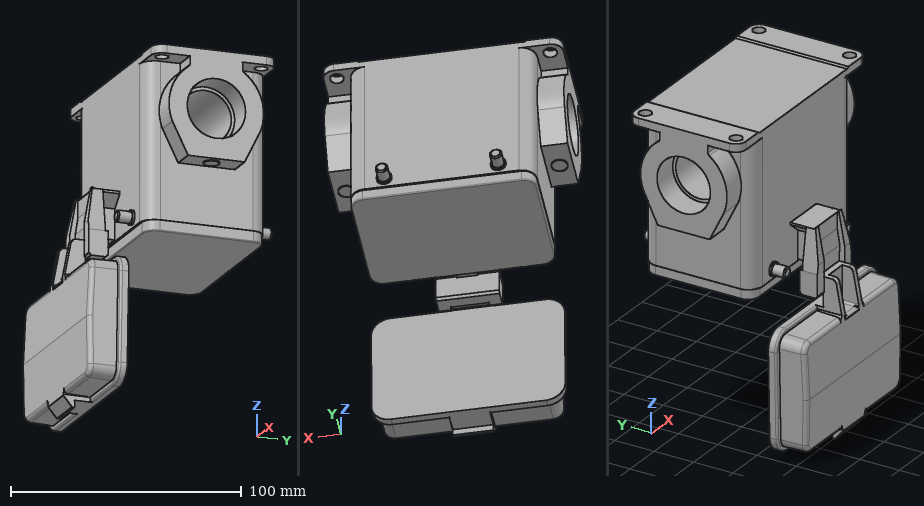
import cadquery as cq
import math

OVERALL_HEIGHT = 155
HOUSING_HEIGHT = 81.0
HOUSING_WIDTH = 82.0
HOUSING_DEPTH = 56.9
HOUSING_CORNER = 7.0
RIM_HEIGHT = 5.0
RIM_END_INSET = 0.2
RIM_SIDE_INSET = 0.8
RIM_CORNER = 5.9
RIM_EDGE = 0.5

FLANGE_WIDTH = 105.5
FLANGE_THICKNESS = 4.0
FLANGE_CORNER = 5.3
SCREW_HOLE_DIAMETER = 5.9
SCREW_SPACING_X = 94.0
SCREW_SPACING_Y = 46.2
RECESS_DEPTH = 0.6
RECESS_TOP_WIDTH = 74.7
RECESS_FLOOR_WIDTH = 72.2

ENTRY_DROP = 26.5
ENTRY_RADIUS = 22.0
ENTRY_SIDE_DROP = 7.9
ENTRY_FLAT_DROP = 49.3
ENTRY_FLAT_WIDTH = 26.3
ENTRY_NECK_WIDTH = 24.5
ENTRY_NECK_FILLET = 1.5
ENTRY_BORE = 24.0
ENTRY_COUNTERBORE = 27.1
COUNTERBORE_DEPTH = 13.0
DRAIN_PAD_DIAMETER = 7.1
DRAIN_PAD_HEIGHT = 0.5
DRAIN_PAD_INSET = 5.9

PIN_SPACING = 50.2
PIN_HEIGHT = 9.8
PIN_DIAMETER = 5.3
PIN_LENGTH = 7.5
PIN_CHAMFER = 0.6
PIN_COLLAR_DIAMETER = 6.7
PIN_COLLAR_LENGTH = 1.0

LATCH_TOP = 26.7
LATCH_BOTTOM = -5.6
LATCH_TOP_WIDTH = 21.4
LATCH_BOTTOM_WIDTH = 28.0
LATCH_BREAK = 6.4
LATCH_BACK_UPPER = -36.5
LATCH_BACK_LOWER = -35.2
LATCH_FRONT_TOP = -41.2
LATCH_FRONT = -44.2
LATCH_FRONT_BREAK = 10.7
LATCH_EDGE = 1.1
PANEL_WIDTH = 16.9
PANEL_TOP_Y = -40.5
PANEL_FOLD_Y = -41.7
PANEL_LOWER_Y = -41.2
PANEL_UPPER_FOLD = 18.3
SHELF_TOP = 26.0
SHELF_THICKNESS = 1.1
SHELF_BRACE_HEIGHT = 5.1
POST_WIDTH = 9.3
POST_BOTTOM = 5.7

LID_MIDDLE = -41.4
LIP_WIDTH = 85.2
LIP_HEIGHT = 58.7
LIP_CORNER = 8.5
LIP_EDGE = 1.0
LIP_THICKNESS = 4.0
LIP_BACK_TOP = -36.6
LIP_BACK_BOTTOM = -37.5
BOX_WIDTH = 79.8
BOX_HEIGHT = 54.4
BOX_DRAFT_ANGLE = 1.5
BOX_CORNER = 5.3
BOX_EDGE = 2.2
BOX_FRONT_TOP = -53.2
BOX_FRONT_MIDDLE = -54.5
BOX_FRONT_BOTTOM = -54.1

ARM_WIDTH = 16.6
ARM_TOP = 2.8
ARM_SHOULDER = -4.6
ARM_BACK = -43.5
ARM_FRONT_TOP = -49.9
ARM_ROUND = 2.5
ARM_POCKET_WIDTH = 11.2
ARM_POCKET_BACK = -44.8
ARM_POCKET_FLOOR = -15.0
ARM_POCKET_LIP = 1.7
ARM_POCKET_FILLET = 1.1
ARM_FLARE = 1.1
ARM_FLARE_TOP = -13.6

CATCH_WIDTH = 18.0
CATCH_FLARE = 1.0
CATCH_BEVEL_TOP = -69.1
CATCH_BEVEL_Y = -54.1
CATCH_TIP_FRONT = -50.0
CATCH_TIP_BACK = -48.8

HOUSING_FRONT = -HOUSING_DEPTH / 2
LID_BOTTOM = HOUSING_HEIGHT - OVERALL_HEIGHT
LIP_TOP = LID_MIDDLE + LIP_HEIGHT / 2
LIP_BOTTOM = LID_MIDDLE - LIP_HEIGHT / 2
BOX_TOP = LID_MIDDLE + BOX_HEIGHT / 2
BOX_BOTTOM = LID_MIDDLE - BOX_HEIGHT / 2
FACE_BOTTOM = BOX_BOTTOM + BOX_EDGE


def side_profile(points, width):
    """Extrude a closed (y, z) outline to both sides of the X = 0 plane."""
    return cq.Workplane("YZ").polyline(points).close().extrude(width / 2, both=True)


def front_profile(points, y_back, y_front):
    """Extrude a closed (x, z) outline from y_back to y_front."""
    plane = cq.Workplane("XZ", origin=(0, y_back, 0))
    return plane.polyline(points).close().extrude(y_back - y_front)


def rounded_block(width, depth, corner, z_bottom, z_top):
    """Upright block with rounded vertical edges."""
    block = cq.Workplane("XY").workplane(offset=z_bottom).rect(width, depth).extrude(z_top - z_bottom)
    return block.edges("|Z").fillet(corner)


def make_housing():
    rim_width = HOUSING_WIDTH - 2 * RIM_END_INSET
    rim_depth = HOUSING_DEPTH - 2 * RIM_SIDE_INSET
    rim = rounded_block(rim_width, rim_depth, RIM_CORNER, 0, RIM_HEIGHT)
    rim = rim.faces("<Z").edges().fillet(RIM_EDGE)
    shell = rounded_block(HOUSING_WIDTH, HOUSING_DEPTH, HOUSING_CORNER, RIM_HEIGHT, HOUSING_HEIGHT)
    flange = rounded_block(
        FLANGE_WIDTH, HOUSING_DEPTH, FLANGE_CORNER, HOUSING_HEIGHT - FLANGE_THICKNESS, HOUSING_HEIGHT
    )
    return rim.union(shell).union(flange)


def make_top_recess():
    floor = HOUSING_HEIGHT - RECESS_DEPTH
    outline = [
        (-RECESS_TOP_WIDTH / 2, HOUSING_HEIGHT),
        (RECESS_TOP_WIDTH / 2, HOUSING_HEIGHT),
        (RECESS_FLOOR_WIDTH / 2, floor),
        (-RECESS_FLOOR_WIDTH / 2, floor),
    ]
    return front_profile(outline, HOUSING_DEPTH / 2, HOUSING_FRONT)


def make_screw_holes():
    return (
        cq.Workplane("XY")
        .workplane(offset=HOUSING_HEIGHT - FLANGE_THICKNESS)
        .rect(SCREW_SPACING_X, SCREW_SPACING_Y, forConstruction=True)
        .vertices()
        .circle(SCREW_HOLE_DIAMETER / 2)
        .extrude(FLANGE_THICKNESS)
    )


def make_cable_entries():
    """Bosses at both ends: a cylinder, tapering to a flat below and joined to the flange by a neck."""
    centre_z = HOUSING_HEIGHT - ENTRY_DROP
    flat_z = HOUSING_HEIGHT - ENTRY_FLAT_DROP
    flat_half = ENTRY_FLAT_WIDTH / 2
    neck_half = ENTRY_NECK_WIDTH / 2

    side_z = centre_z - ENTRY_SIDE_DROP
    side_y = math.sqrt(ENTRY_RADIUS**2 - ENTRY_SIDE_DROP**2)
    neck_z = centre_z + math.sqrt(ENTRY_RADIUS**2 - neck_half**2)
    flange_z = HOUSING_HEIGHT - FLANGE_THICKNESS

    entries = (
        cq.Workplane("YZ")
        .moveTo(-flat_half, flat_z)
        .lineTo(flat_half, flat_z)
        .lineTo(side_y, side_z)
        .threePointArc((ENTRY_RADIUS, centre_z), (neck_half, neck_z))
        .lineTo(neck_half, flange_z)
        .lineTo(-neck_half, flange_z)
        .lineTo(-neck_half, neck_z)
        .threePointArc((-ENTRY_RADIUS, centre_z), (-side_y, side_z))
        .close()
        .extrude(FLANGE_WIDTH / 2, both=True)
    )
    neck_corners = cq.selectors.BoxSelector(
        (-FLANGE_WIDTH, -neck_half - ENTRY_NECK_FILLET, neck_z - ENTRY_NECK_FILLET),
        (FLANGE_WIDTH, neck_half + ENTRY_NECK_FILLET, neck_z + ENTRY_NECK_FILLET),
    )
    entries = entries.edges("|X").edges(neck_corners).fillet(ENTRY_NECK_FILLET)

    pad_x = FLANGE_WIDTH / 2 - DRAIN_PAD_INSET
    pads = (
        cq.Workplane("XY")
        .workplane(offset=flat_z - DRAIN_PAD_HEIGHT)
        .pushPoints([(-pad_x, 0), (pad_x, 0)])
        .circle(DRAIN_PAD_DIAMETER / 2)
        .extrude(DRAIN_PAD_HEIGHT)
    )
    return entries.union(pads)


def make_entry_bores():
    """Bore right through, opened out inside each boss."""
    centre = cq.Workplane("YZ").center(0, HOUSING_HEIGHT - ENTRY_DROP)
    bores = centre.circle(ENTRY_BORE / 2).extrude(FLANGE_WIDTH / 2, both=True)
    for side in (-1, 1):
        counterbore = (
            centre.workplane(offset=side * FLANGE_WIDTH / 2)
            .circle(ENTRY_COUNTERBORE / 2)
            .extrude(-side * COUNTERBORE_DEPTH)
        )
        bores = bores.union(counterbore)
    return bores


def make_pins():
    locations = [(-PIN_SPACING / 2, PIN_HEIGHT), (PIN_SPACING / 2, PIN_HEIGHT)]
    reach = HOUSING_DEPTH / 2 + PIN_LENGTH
    collar_reach = HOUSING_DEPTH / 2 + PIN_COLLAR_LENGTH
    plane = cq.Workplane("XZ").pushPoints(locations)
    rods = plane.circle(PIN_DIAMETER / 2).extrude(reach, both=True)
    rods = rods.faces("<Y or >Y").chamfer(PIN_CHAMFER)
    collars = plane.circle(PIN_COLLAR_DIAMETER / 2).extrude(collar_reach, both=True)
    return rods.union(collars)


def make_latch():
    """Clip with two flaring cheeks and a folded panel set back between them."""
    top_half = LATCH_TOP_WIDTH / 2
    bottom_half = LATCH_BOTTOM_WIDTH / 2
    side = side_profile(
        [
            (LATCH_BACK_UPPER, SHELF_TOP),
            (PANEL_TOP_Y, SHELF_TOP),
            (LATCH_FRONT_TOP, LATCH_TOP),
            (LATCH_FRONT, LATCH_FRONT_BREAK),
            (LATCH_FRONT, LATCH_BOTTOM),
            (LATCH_BACK_LOWER, LATCH_BOTTOM),
            (LATCH_BACK_LOWER, LATCH_BREAK),
            (LATCH_BACK_UPPER, LATCH_BREAK),
        ],
        LATCH_BOTTOM_WIDTH,
    )
    side = side.faces("<Z").edges("|X").chamfer(LATCH_EDGE)
    front = front_profile(
        [
            (-top_half, LATCH_TOP),
            (top_half, LATCH_TOP),
            (bottom_half, LATCH_BREAK),
            (bottom_half, LATCH_BOTTOM),
            (-bottom_half, LATCH_BOTTOM),
            (-bottom_half, LATCH_BREAK),
        ],
        LATCH_BACK_LOWER,
        LATCH_FRONT,
    )
    panel_recess = side_profile(
        [
            (PANEL_TOP_Y, LATCH_TOP),
            (PANEL_TOP_Y, PANEL_UPPER_FOLD),
            (PANEL_FOLD_Y, LATCH_FRONT_BREAK),
            (PANEL_LOWER_Y, LATCH_BOTTOM),
            (LATCH_FRONT, LATCH_BOTTOM),
            (LATCH_FRONT, LATCH_TOP),
        ],
        PANEL_WIDTH,
    )
    return side.intersect(front).cut(panel_recess)


def make_latch_mount():
    """Shelf and post that carry the latch on the housing wall."""
    shelf_half = LATCH_TOP_WIDTH / 2
    post_half = POST_WIDTH / 2
    shelf_bottom = SHELF_TOP - SHELF_THICKNESS
    brace_bottom = shelf_bottom - SHELF_BRACE_HEIGHT
    outline = [
        (-shelf_half, SHELF_TOP),
        (shelf_half, SHELF_TOP),
        (shelf_half, shelf_bottom),
        (post_half, brace_bottom),
        (post_half, POST_BOTTOM),
        (-post_half, POST_BOTTOM),
        (-post_half, brace_bottom),
        (-shelf_half, shelf_bottom),
    ]
    return front_profile(outline, HOUSING_FRONT, LATCH_BACK_UPPER)


def make_lid():
    """Slightly tilted lip with a box in front of it whose front face is folded across the middle."""
    lip_outline = cq.Workplane("XZ").center(0, LID_MIDDLE).rect(LIP_WIDTH, LIP_HEIGHT)
    lip = lip_outline.extrude(-BOX_FRONT_MIDDLE).edges("|Y").fillet(LIP_CORNER)
    lip = lip.intersect(
        side_profile(
            [
                (LIP_BACK_TOP, LIP_TOP),
                (LIP_BACK_TOP - LIP_THICKNESS, LIP_TOP),
                (LIP_BACK_BOTTOM - LIP_THICKNESS, LIP_BOTTOM),
                (LIP_BACK_BOTTOM, LIP_BOTTOM),
            ],
            LIP_WIDTH,
        )
    )
    lip = lip.faces("<Y").edges().fillet(LIP_EDGE)

    box_outline = cq.Sketch().rect(BOX_WIDTH, BOX_HEIGHT).vertices().fillet(BOX_CORNER)
    box_plane = cq.Workplane("XZ", origin=(0, LIP_BACK_BOTTOM, LID_MIDDLE))
    box_depth = LIP_BACK_BOTTOM - BOX_FRONT_MIDDLE
    box = box_plane.placeSketch(box_outline).extrude(box_depth, taper=BOX_DRAFT_ANGLE)
    box = box.intersect(
        side_profile(
            [
                (LIP_BACK_BOTTOM, BOX_TOP),
                (BOX_FRONT_TOP, BOX_TOP),
                (BOX_FRONT_MIDDLE, LID_MIDDLE),
                (BOX_FRONT_BOTTOM, BOX_BOTTOM),
                (LIP_BACK_BOTTOM, BOX_BOTTOM),
            ],
            BOX_WIDTH,
        )
    )
    outline_zone = cq.selectors.BoxSelector(
        (-BOX_WIDTH, BOX_FRONT_MIDDLE - LIP_EDGE, LID_BOTTOM), (BOX_WIDTH, BOX_FRONT_TOP + LIP_EDGE, 0)
    )
    fold_zone = cq.selectors.BoxSelector(
        (-BOX_EDGE, BOX_FRONT_MIDDLE - LIP_EDGE, LID_MIDDLE - LIP_EDGE),
        (BOX_EDGE, BOX_FRONT_MIDDLE + LIP_EDGE, LID_MIDDLE + LIP_EDGE),
    )
    box = box.edges(outline_zone - fold_zone).fillet(BOX_EDGE)
    return lip.union(box)


def make_arm():
    """Hinge arm that rises from the lid and joins the latch panel."""
    arm_half = ARM_WIDTH / 2
    foot_half = arm_half + ARM_FLARE
    side = side_profile(
        [
            (PANEL_LOWER_Y, ARM_TOP),
            (ARM_FRONT_TOP, ARM_TOP),
            (BOX_FRONT_TOP, BOX_TOP),
            (BOX_FRONT_MIDDLE, LID_MIDDLE),
            (LIP_BACK_BOTTOM, LID_MIDDLE),
            (LIP_BACK_BOTTOM, LIP_TOP),
            (ARM_BACK, LIP_TOP),
            (ARM_BACK, ARM_SHOULDER),
            (PANEL_LOWER_Y, ARM_SHOULDER),
        ],
        2 * foot_half,
    )
    top_corner = cq.selectors.NearestToPointSelector((0, ARM_FRONT_TOP, ARM_TOP))
    side = side.edges("|X").edges(top_corner).fillet(ARM_ROUND)
    front = front_profile(
        [
            (-arm_half, ARM_TOP),
            (arm_half, ARM_TOP),
            (arm_half, ARM_FLARE_TOP),
            (foot_half, ARM_POCKET_FLOOR),
            (foot_half, LID_MIDDLE),
            (-foot_half, LID_MIDDLE),
            (-foot_half, ARM_POCKET_FLOOR),
            (-arm_half, ARM_FLARE_TOP),
        ],
        LATCH_BACK_LOWER,
        BOX_FRONT_MIDDLE,
    )
    return side.intersect(front)


def make_arm_pocket():
    """Pocket in the arm, open to the top and the front, with a rounded floor."""
    half = ARM_POCKET_WIDTH / 2
    outline = [(-half, ARM_TOP), (half, ARM_TOP), (half, ARM_POCKET_FLOOR), (-half, ARM_POCKET_FLOOR)]
    pocket = front_profile(outline, ARM_POCKET_BACK, BOX_FRONT_MIDDLE)
    pocket = pocket.faces("<Z").edges("not <Y").fillet(ARM_POCKET_FILLET)

    lip_bottom = ARM_POCKET_FLOOR - ARM_POCKET_LIP
    lip = (
        cq.Workplane("YZ")
        .moveTo(BOX_FRONT_MIDDLE, lip_bottom)
        .lineTo(BOX_FRONT_TOP, lip_bottom)
        .radiusArc((BOX_FRONT_TOP + ARM_POCKET_LIP, ARM_POCKET_FLOOR), ARM_POCKET_LIP)
        .lineTo(BOX_FRONT_MIDDLE, ARM_POCKET_FLOOR)
        .close()
        .extrude(half, both=True)
    )
    return pocket.union(lip)


def make_catch():
    """Finger catch under the lid, with a bevelled tip and flared root."""
    half = CATCH_WIDTH / 2
    root_half = half + CATCH_FLARE
    side = side_profile(
        [
            (ARM_BACK, LID_MIDDLE),
            (BOX_FRONT_MIDDLE, LID_MIDDLE),
            (BOX_FRONT_BOTTOM, BOX_BOTTOM),
            (CATCH_BEVEL_Y, CATCH_BEVEL_TOP),
            (CATCH_TIP_FRONT, LID_BOTTOM),
            (CATCH_TIP_BACK, LID_BOTTOM),
            (CATCH_TIP_BACK, LIP_BOTTOM),
            (LIP_BACK_BOTTOM, LIP_BOTTOM),
            (LIP_BACK_BOTTOM, BOX_BOTTOM),
            (ARM_BACK, BOX_BOTTOM),
        ],
        2 * root_half,
    )
    front = front_profile(
        [
            (-root_half, FACE_BOTTOM),
            (-root_half, LID_MIDDLE),
            (root_half, LID_MIDDLE),
            (root_half, FACE_BOTTOM),
            (half, BOX_BOTTOM),
            (half, LID_BOTTOM),
            (-half, LID_BOTTOM),
            (-half, BOX_BOTTOM),
        ],
        LIP_BACK_BOTTOM,
        BOX_FRONT_MIDDLE,
    )
    return side.intersect(front)


result = make_housing().union(make_cable_entries())
result = result.cut(make_top_recess()).cut(make_screw_holes()).cut(make_entry_bores())
result = result.union(make_pins()).union(make_latch_mount()).union(make_latch())
result = result.union(make_lid()).union(make_arm()).union(make_catch())
result = result.cut(make_arm_pocket())